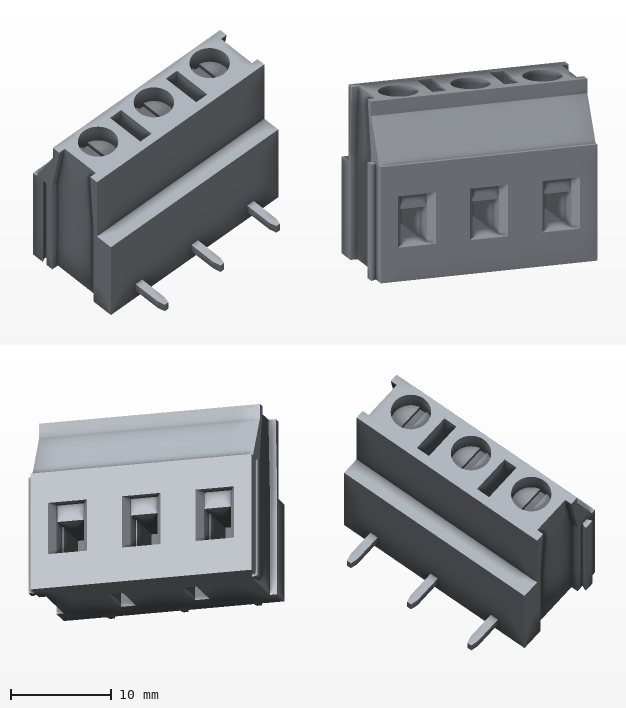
import cadquery as cq


pitch = 7.62
pole_count = 3
block_length = pitch * pole_count
block_half = block_length / 2
joint_offset = pitch * (pole_count - 1) / 2
pole_positions = [pitch * i - joint_offset for i in range(pole_count)]
slot_positions = [(a + b) / 2 for a, b in zip(pole_positions, pole_positions[1:])]

block_depth = 11.2
block_height = 18.0
front_face_height = 12.0
front_ledge = 0.5
slope_top_height = 16.5
upper_front = 2.85
upper_back = 9.2
back_step_height = 10.0

recess_depth = 0.76
recess_front = 2.78
recess_back = 8.7
recess_top_front = 3.78
recess_top_back = 8.22
recess_front_bend = 12.3
recess_back_bend = 10.8

slot_front = 3.86
slot_length = 4.36
slot_width = 2 * recess_depth

dovetail_x = 1.69
dovetail_reach = 0.6
dovetail_head = 1.0
dovetail_neck = 0.56
dovetail_head_thickness = 0.2

screw_x = 5.35
screw_diameter = 4.0
screw_sink = 2.0
driver_slot_width = 0.85
driver_slot_depth = 0.5

entry_floor = 3.5
entry_top = 8.8
entry_width = 4.0
throat_width = 2.82
funnel_depth = 0.95
lintel_x = 1.15
throat_top = 7.1
clamp_width = 2.61
clamp_floor = 3.44
clamp_front = 2.85
clamp_back = 2 * screw_x - clamp_front

pin_width = 0.9
pin_bottom = 1.07
pin_height = 0.95
pin_length = 4.0
pin_tip_length = 0.8
pin_tip_width = 0.5


def box(x_range, y_center, width, z_range):
    """Upright block spanning x_range and z_range, centred on y_center."""
    length = x_range[1] - x_range[0]
    height = z_range[1] - z_range[0]
    return (
        cq.Workplane("XY")
        .box(length, width, height, centered=(False, True, False))
        .translate((x_range[0], y_center, z_range[0]))
    )


def profile_along_y(points, y_start, y_end):
    """Extrude an XZ outline from y_start to y_end."""
    plane = cq.Workplane("XZ", origin=(0, y_start, 0))
    return plane.polyline(points).close().extrude(y_start - y_end)


def block_body():
    outline = [
        (0, 0),
        (0, front_face_height),
        (front_ledge, front_face_height),
        (upper_front, slope_top_height),
        (upper_front, block_height),
        (upper_back, block_height),
        (upper_back, back_step_height),
        (block_depth, back_step_height),
        (block_depth, 0),
    ]
    return profile_along_y(outline, -block_half, block_half)


def end_recess(y_start, y_end):
    outline = [
        (recess_front, 0),
        (recess_front, recess_front_bend),
        (recess_top_front, block_height),
        (recess_top_back, block_height),
        (recess_back, recess_back_bend),
        (recess_back, 0),
    ]
    return profile_along_y(outline, y_start, y_end)


def dovetail(y_base):
    """Dovetail rib standing on the plane y = y_base and widening toward +Y."""
    y_shoulder = y_base + dovetail_reach - dovetail_head_thickness
    y_tip = y_base + dovetail_reach
    outline = [
        (dovetail_x - dovetail_neck / 2, y_base),
        (dovetail_x - dovetail_head / 2, y_shoulder),
        (dovetail_x - dovetail_head / 2, y_tip),
        (dovetail_x + dovetail_head / 2, y_tip),
        (dovetail_x + dovetail_head / 2, y_shoulder),
        (dovetail_x + dovetail_neck / 2, y_base),
    ]
    return cq.Workplane("XY").polyline(outline).close().extrude(front_face_height)


def slot_between_poles(y):
    return box((slot_front, slot_front + slot_length), y, slot_width, (0, block_height))


def screw_well(y):
    """Round well down to the screw head, with the driver slot cut across the head."""
    head_z = block_height - screw_sink
    well = cq.Workplane("XY", origin=(screw_x, y, head_z)).circle(screw_diameter / 2).extrude(screw_sink)
    slot_floor = head_z - driver_slot_depth
    slot_disc = (
        cq.Workplane("XY", origin=(screw_x, y, slot_floor))
        .circle(screw_diameter / 2)
        .extrude(driver_slot_depth)
    )
    slot_ends = (screw_x - screw_diameter / 2, screw_x + screw_diameter / 2)
    driver_slot = slot_disc.intersect(box(slot_ends, y, driver_slot_width, (slot_floor, head_z)))
    return well.union(driver_slot)


def wire_entry(y):
    """Funnel mouth, then a lower throat, then a narrower clamp chamber with a sunken floor."""
    mouth = [
        (0, y - entry_width / 2),
        (funnel_depth, y - throat_width / 2),
        (lintel_x, y - throat_width / 2),
        (lintel_x, y + throat_width / 2),
        (funnel_depth, y + throat_width / 2),
        (0, y + entry_width / 2),
    ]
    funnel = (
        cq.Workplane("XY", origin=(0, 0, entry_floor))
        .polyline(mouth)
        .close()
        .extrude(entry_top - entry_floor)
    )
    throat = box((lintel_x, clamp_front), y, throat_width, (entry_floor, throat_top))
    clamp = box((clamp_front, clamp_back), y, clamp_width, (clamp_floor, throat_top))
    return funnel.union(throat).union(clamp)


def pin(y):
    """Flat solder pin standing out of the back face, narrowed at its tip."""
    x_tip = block_depth + pin_length
    x_shoulder = x_tip - pin_tip_length
    outline = [
        (block_depth, y - pin_width / 2),
        (x_shoulder, y - pin_width / 2),
        (x_tip, y - pin_tip_width / 2),
        (x_tip, y + pin_tip_width / 2),
        (x_shoulder, y + pin_width / 2),
        (block_depth, y + pin_width / 2),
    ]
    return cq.Workplane("XY", origin=(0, 0, pin_bottom)).polyline(outline).close().extrude(pin_height)


def full_strip():
    """The whole block as one shape, before it is divided at the joints."""
    strip = block_body()
    strip = strip.cut(end_recess(-block_half, -block_half + recess_depth))
    strip = strip.cut(end_recess(block_half - recess_depth, block_half))
    strip = strip.cut(dovetail(-block_half))
    strip = strip.union(dovetail(block_half))
    for y in slot_positions:
        strip = strip.cut(slot_between_poles(y))
    for y in pole_positions:
        strip = strip.cut(screw_well(y)).cut(wire_entry(y)).union(pin(y))
    return strip


def section(strip, y_start, y_end):
    """The part of the strip that lies between two Y positions."""
    x_range = (0, block_depth + pin_length)
    slab = box(x_range, (y_start + y_end) / 2, y_end - y_start, (0, block_height))
    return strip.intersect(slab, clean=False).solids()


strip = full_strip()
groove_end_section = section(strip, -block_half, -joint_offset)
middle_section = section(strip, -joint_offset, joint_offset)
key_end_section = section(strip, joint_offset, block_half + dovetail_reach)

result = cq.Compound.makeCompound(
    [groove_end_section.val(), middle_section.val(), key_end_section.val()]
)